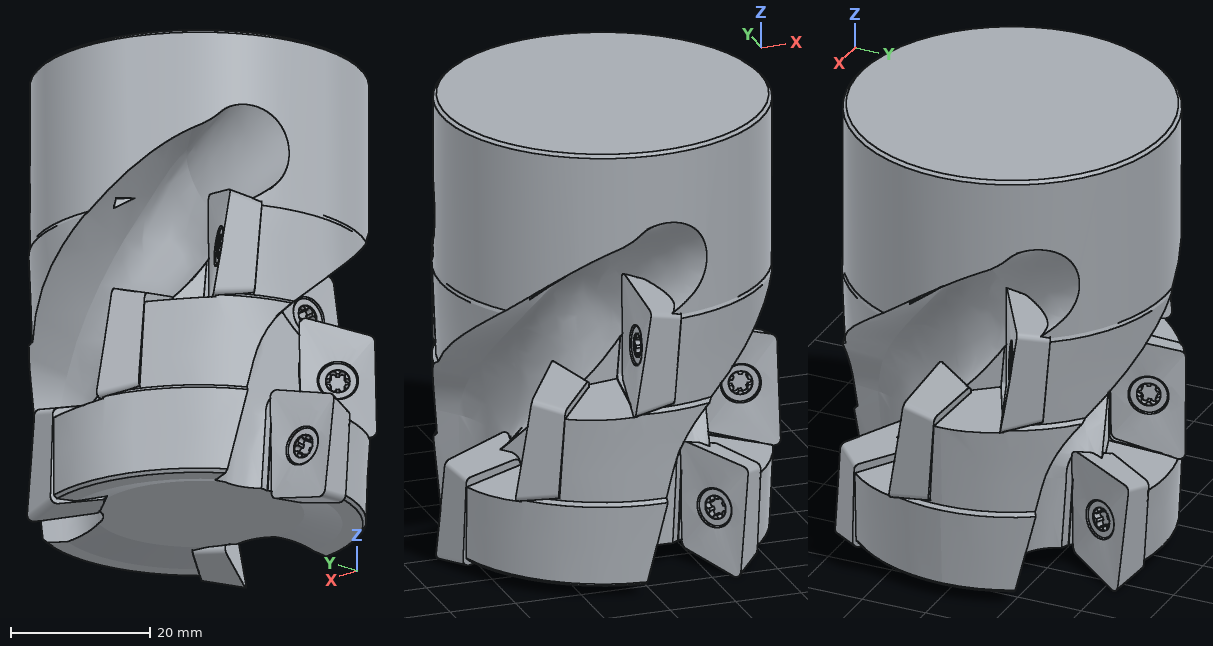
import cadquery as cq
import math

shank_radius = 48.75 / 2
top_z = 68.55
bottom_z = 1.7
edge_chamfer = 0.5

tier_count = 3
tier_pitch = 14.05
tier_top_z = 14.25
tier_top_radius = 24.55
tier_bottom_radius = 24.0
tier_bevel = 0.55

recess_rim_radius = 20.55
recess_floor_radius = 15.1
recess_depth = 1.5

flute_count = 3
flute_step = 360 / flute_count
flute_radius = 6.5
flute_reach = 17.15
flute_run_in = (-82.7, -6.85, 20.55)
flute_bend = (-69.7, 16.45, 20.2)
flute_helix = ((-59.0, 22.3, 19.2), (-35.0, 29.5, 17.15), (-10.0, 36.75, 16.1), (10.6, 43.2, 16.65))
flute_run_out = (22.0, 46.95, 19.55)
flute_exit = (34.5, 51.55, 24.7)
run_out_stretch = 2.5

insert_azimuth = -57.4
azimuth_step = 40.0
insert_centre_radius = 19.95
insert_centre_z = 9.2
insert_lean = 4.5
insert_radial_rake = 5.0
insert_twist = 0.7
insert_half_width = 5.6
insert_long_corner = 9.5
insert_short_corner = 7.2
insert_corner_radius = 1.0
insert_thickness = 5.6
insert_clearance = 11.0
dish_depth = 0.55
dish_oversize = 1.1
chip_gap_lengths = (8.2, 14.4, 14.4)
chip_gap_overhang = 6.85
chip_gap_drop = 6.0

screw_diameter = 5.5
screw_bevel = 0.2
socket_diameter = 3.5
socket_bevel = 0.2
socket_depth = 1.2
socket_core_diameter = 2.5
socket_lobe_diameter = 0.9
socket_lobes = 6


def polar(azimuth, height, radius):
    angle = math.radians(azimuth)
    return cq.Vector(radius * math.cos(angle), radius * math.sin(angle), height)


def turned(shape, azimuth):
    return shape.rotate((0, 0, 0), (0, 0, 1), azimuth)


def make_blank():
    """Stepped round body before the grooves and seats are cut."""
    recess_z = bottom_z + recess_depth
    outline = [
        (0, recess_z),
        (recess_floor_radius, recess_z),
        (recess_rim_radius, bottom_z),
        (tier_bottom_radius - edge_chamfer, bottom_z),
        (tier_bottom_radius, bottom_z + edge_chamfer),
    ]
    for tier in range(tier_count):
        step_z = tier_top_z + tier * tier_pitch
        is_last = tier == tier_count - 1
        outline.append((tier_top_radius, step_z))
        outline.append((shank_radius if is_last else tier_bottom_radius, step_z + tier_bevel))
    outline += [
        (shank_radius, top_z - edge_chamfer),
        (shank_radius - edge_chamfer, top_z),
        (0, top_z),
    ]
    return cq.Workplane("XZ").polyline(outline).close().revolve(360, (0, 0, 0), (0, 1, 0)).val()


def make_flute():
    """Cutter for one groove at the azimuth of the first flute."""
    run_in, bend, run_out, leave = [
        polar(*place) for place in (flute_run_in, flute_bend, flute_run_out, flute_exit)
    ]
    helix = [polar(*place) for place in flute_helix]
    end = run_out + (leave - run_out) * run_out_stretch
    steep_line = cq.Edge.makeLine(run_in, bend)
    curve = cq.Edge.makeSpline([bend, *helix, run_out], tangents=[bend - run_in, end - run_out])
    exit_line = cq.Edge.makeLine(run_out, end)
    path = cq.Wire.assembleEdges([steep_line, curve, exit_line])
    axis_line = cq.Edge.makeLine(cq.Vector(0, 0, run_in.z), cq.Vector(0, 0, end.z))
    axis = cq.Wire.assembleEdges([axis_line])
    outward = cq.Vector(run_in.x, run_in.y, 0)
    section = cq.Plane(origin=run_in, xDir=outward, normal=bend - run_in)
    return (
        cq.Workplane(section)
        .moveTo(flute_reach, flute_radius)
        .lineTo(0, flute_radius)
        .threePointArc((-flute_radius, 0), (0, -flute_radius))
        .lineTo(flute_reach, -flute_radius)
        .close()
        .sweep(cq.Workplane(path), auxSpine=cq.Workplane(axis))
        .val()
    )


def cutting_face_location(tier):
    """Place of an insert at azimuth 0: local X points outwards, local Z out of the cutting face."""
    lean = math.radians(insert_lean)
    rake = math.radians(insert_radial_rake)
    outward = cq.Vector(math.cos(rake), math.sin(rake), 0)
    facing = cq.Vector(math.sin(rake), -math.cos(rake), math.tan(lean))
    origin = (insert_centre_radius, 0, insert_centre_z + tier * tier_pitch)
    return cq.Plane(origin=origin, xDir=outward, normal=facing).location


def cutting_face_corners(overhang=0.0):
    """Corners clockwise from the inner top one; the overhang lengthens the sides outwards."""
    slope = (insert_long_corner - insert_short_corner) / (2 * insert_half_width)
    inner_x = -insert_half_width
    outer_x = insert_half_width + overhang
    return [
        (inner_x, insert_long_corner),
        (outer_x, insert_short_corner - overhang * slope),
        (outer_x, -insert_long_corner - overhang * slope),
        (inner_x, -insert_short_corner),
    ]


def make_chip_gap(length):
    """Cutter for the space in front of an insert, in the insert's own axes."""
    slope = math.radians(insert_lean + chip_gap_drop)
    corners = [cq.Vector(x, y) for x, y in cutting_face_corners(chip_gap_overhang)]
    outline = cq.Wire.makePolygon(corners, close=True)
    direction = cq.Vector(0, -math.sin(slope), math.cos(slope)) * length
    return cq.Solid.extrudeLinear(outline, [], direction)


def make_insert_blank():
    """Solid insert with its flat cutting face parallel to the XY plane, facing +Z."""
    return (
        cq.Workplane("XY", origin=(0, 0, insert_twist))
        .polyline(cutting_face_corners())
        .close()
        .extrude(-insert_thickness - insert_twist, taper=insert_clearance)
        .edges("not(>Z or <Z)")
        .fillet(insert_corner_radius)
        .val()
    )


def make_dish():
    """Cutter for the twisted cutting face: four ruled slopes down to the rim around the screw."""
    rim_radius = screw_diameter / 2 + screw_bevel
    lid_z = insert_thickness
    low, high, lid, angles = [], [], [], []
    for number, (x, y) in enumerate(cutting_face_corners()):
        twist = insert_twist if number % 2 == 0 else -insert_twist
        angle = math.atan2(y, x)
        angles.append(angle)
        low.append(cq.Vector(rim_radius * math.cos(angle), rim_radius * math.sin(angle), -dish_depth))
        high.append(cq.Vector(x, y, twist) * dish_oversize)
        lid.append(cq.Vector(x * dish_oversize, y * dish_oversize, lid_z))

    faces = [cq.Face.makeFromWires(cq.Wire.makePolygon(lid, close=True))]
    arcs = []
    for here in range(len(high)):
        after = (here + 1) % len(high)
        middle = angles[here] - (angles[here] - angles[after]) % (2 * math.pi) / 2
        crown = cq.Vector(rim_radius * math.cos(middle), rim_radius * math.sin(middle), -dish_depth)
        arc = cq.Edge.makeThreePointArc(low[here], crown, low[after])
        arcs.append(arc)
        faces.append(cq.Face.makeRuledSurface(cq.Edge.makeLine(high[here], high[after]), arc))
        side = cq.Wire.makePolygon([high[here], high[after], lid[after], lid[here]], close=True)
        faces.append(cq.Face.makeFromWires(side))
    faces.append(cq.Face.makeFromWires(cq.Wire.assembleEdges(arcs)))
    return cq.Solid.makeSolid(cq.Shell.makeShell(faces))


def make_insert():
    """Twisted insert with the screw head and its six-lobed socket sunk into the dish."""
    rim_z = -dish_depth
    head_z = rim_z - screw_bevel
    socket_z = head_z - socket_bevel
    head_recess = cq.Solid.makeCone(
        screw_diameter / 2, screw_diameter / 2 + screw_bevel, screw_bevel, cq.Vector(0, 0, head_z))
    socket_mouth = cq.Solid.makeCylinder(socket_diameter / 2, socket_bevel, cq.Vector(0, 0, socket_z))
    lobe_circle = (socket_diameter - socket_lobe_diameter) / 2
    socket = (
        cq.Workplane("XY", origin=(0, 0, socket_z))
        .circle(socket_core_diameter / 2)
        .extrude(-socket_depth)
        .polarArray(lobe_circle, 0, 360, socket_lobes)
        .circle(socket_lobe_diameter / 2)
        .extrude(-socket_depth)
    )
    insert = make_insert_blank().cut(make_dish()).cut(head_recess, socket_mouth, socket.val())
    return insert.Solids()[0]


insert_blank = make_insert_blank()
finished_insert = make_insert()
chip_gaps = [make_chip_gap(length) for length in chip_gap_lengths]

body = make_blank()
for flute in range(flute_count):
    body = body.cut(turned(make_flute(), flute * flute_step))

inserts = []
for flute in range(flute_count):
    for tier in range(tier_count):
        place = cutting_face_location(tier)
        azimuth = insert_azimuth + tier * azimuth_step + flute * flute_step
        body = body.cut(turned(chip_gaps[tier].moved(place), azimuth))
        body = body.cut(turned(insert_blank.moved(place), azimuth))
        inserts.append(turned(finished_insert.moved(place), azimuth))

result = cq.Compound.makeCompound([*body.Solids(), *inserts])